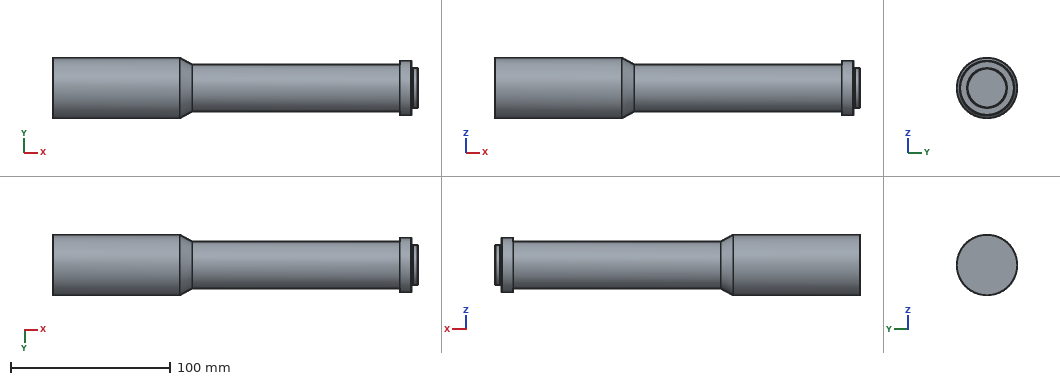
import cadquery as cq

total_length = 229.5
handle_length = 79.9
taper_length = 7.5
collar_start = 218.0
collar_length = 7.3
collar_chamfer = 0.5
neck_length = 1.0
tip_chamfer = 0.57

handle_radius = 19.0
tube_radius = 15.0
collar_radius = 17.2
neck_radius = 11.5
tip_radius = 12.6

collar_end = collar_start + collar_length
tip_start = collar_end + neck_length

half_section = [
    (0, 0),
    (0, handle_radius),
    (handle_length, handle_radius),
    (handle_length + taper_length, tube_radius),
    (collar_start, tube_radius),
    (collar_start, collar_radius),
    (collar_end - collar_chamfer, collar_radius),
    (collar_end, collar_radius - collar_chamfer),
    (collar_end, neck_radius),
    (tip_start, neck_radius),
    (tip_start, tip_radius),
    (total_length - tip_chamfer, tip_radius),
    (total_length, tip_radius - tip_chamfer),
    (total_length, 0),
]

result = cq.Workplane("XZ").polyline(half_section).close().revolve(360, (0, 0, 0), (1, 0, 0))